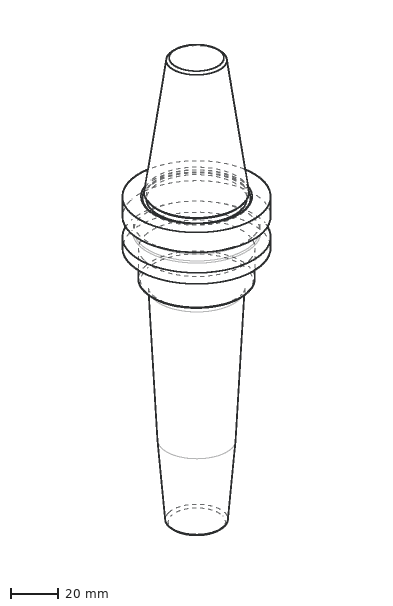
import cadquery as cq
import math

total_length = 225.5
shank_length = 65.4
neck_length = 2.0
flange_thickness = 25.0
upper_rim_thickness = 9.7
lower_rim_thickness = 5.5
collar_bottom = 117.9
body_top = 113.4
nose_top = 40.0

gauge_radius = 22.3
shank_taper = 7 / 24
neck_radius = 21.5
relief_radius = 23.7
relief_depth = 1.1
flange_radius = 31.5
groove_radius = 26.8
groove_wall_angle = 30.0
collar_radius = 24.8
body_top_radius = 20.5
nose_top_radius = 16.7
nose_tip_radius = 13.3

shank_chamfer = 1.1
tip_chamfer = 1.1
collar_chamfer = 1.0
neck_chamfer = 1.0
relief_chamfer = 0.7
groove_fillet = 1.0

gauge_height = total_length - shank_length
flange_top = gauge_height - neck_length
flange_bottom = flange_top - flange_thickness
groove_top = flange_top - upper_rim_thickness
groove_bottom = flange_bottom + lower_rim_thickness
groove_wall_height = (flange_radius - groove_radius) * math.tan(math.radians(groove_wall_angle))
shank_top_radius = gauge_radius - shank_length * shank_taper / 2
shank_edge_radius = shank_top_radius + shank_chamfer * shank_taper / 2
tip_slope = (nose_top_radius - nose_tip_radius) / nose_top
tip_edge_radius = nose_tip_radius + tip_chamfer * tip_slope

shoulder_radius = collar_radius - collar_chamfer
shoulder_top = collar_bottom - collar_chamfer
shoulder_width = shoulder_radius - body_top_radius
shoulder_height = shoulder_top - body_top
shoulder_middle = (
    shoulder_radius - shoulder_width * math.sqrt(0.5),
    body_top + shoulder_height * math.sqrt(0.5),
)

profile = (
    cq.Workplane("XZ")
    .lineTo(nose_tip_radius - tip_chamfer, 0)
    .lineTo(tip_edge_radius, tip_chamfer)
    .lineTo(nose_top_radius, nose_top)
    .lineTo(body_top_radius, body_top)
    .threePointArc(shoulder_middle, (shoulder_radius, shoulder_top))
    .lineTo(collar_radius, collar_bottom)
    .lineTo(collar_radius, flange_bottom)
    .lineTo(flange_radius, flange_bottom)
    .lineTo(flange_radius, groove_bottom)
    .lineTo(groove_radius, groove_bottom + groove_wall_height)
    .lineTo(groove_radius, groove_top - groove_wall_height)
    .lineTo(flange_radius, groove_top)
    .lineTo(flange_radius, flange_top)
    .lineTo(relief_radius, flange_top)
    .lineTo(relief_radius - relief_chamfer, flange_top - relief_chamfer)
    .lineTo(relief_radius - relief_chamfer, flange_top - relief_depth)
    .lineTo(neck_radius, flange_top - relief_depth)
    .lineTo(neck_radius, gauge_height - neck_chamfer)
    .lineTo(gauge_radius, gauge_height)
    .lineTo(shank_edge_radius, total_length - shank_chamfer)
    .lineTo(shank_top_radius - shank_chamfer, total_length)
    .lineTo(0, total_length)
    .close()
)
holder = profile.revolve(360, (0, 0, 0), (0, 1, 0))


def groove_corner(height):
    """Selector for the circular edge at the groove floor at this height."""
    reach = groove_radius + groove_fillet
    margin = groove_fillet / 2
    return cq.selectors.BoxSelector(
        (-reach, -reach, height - margin),
        (reach, reach, height + margin),
        boundingbox=True,
    )


for corner_height in (groove_bottom + groove_wall_height, groove_top - groove_wall_height):
    holder = holder.edges(groove_corner(corner_height)).fillet(groove_fillet)

result = holder